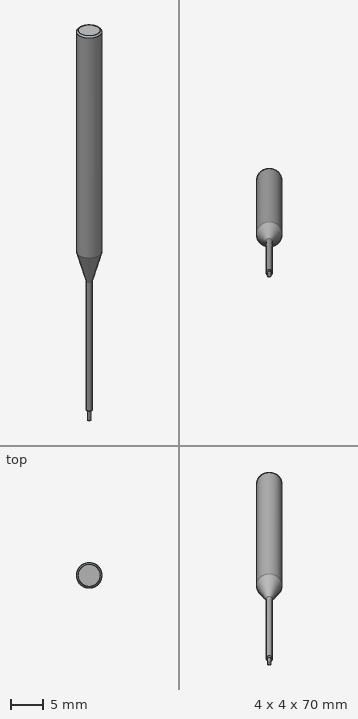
import cadquery as cq

total_length = 70.0
shank_length = 39.75
neck_top = 25.0
neck_bottom = 1.9
head_length = 1.7

shank_diameter = 4.0
neck_diameter = 1.0
head_diameter = 0.6

shank_chamfer = 0.3
head_corner_radius = 0.1

shank_radius = shank_diameter / 2
neck_radius = neck_diameter / 2
head_radius = head_diameter / 2
shank_bottom = total_length - shank_length


def make_holder():
    """Chamfered shank, conical transition and slim neck, tapering down to the cutting head."""
    profile = (
        cq.Workplane("XZ")
        .moveTo(0, head_length)
        .lineTo(head_radius, head_length)
        .lineTo(neck_radius, neck_bottom)
        .lineTo(neck_radius, neck_top)
        .lineTo(shank_radius, shank_bottom)
        .lineTo(shank_radius, total_length - shank_chamfer)
        .lineTo(shank_radius - shank_chamfer, total_length)
        .lineTo(0, total_length)
        .close()
    )
    return profile.revolve(360, (0, 0, 0), (0, 1, 0))


def make_cutting_head():
    """Small cylindrical head with a rounded corner around its flat end."""
    head = cq.Workplane("XY").circle(head_radius).extrude(head_length)
    return head.faces("<Z").edges().fillet(head_corner_radius)


holder = make_holder()
cutting_head = make_cutting_head()

result = cq.Compound.makeCompound([holder.val(), cutting_head.val()])